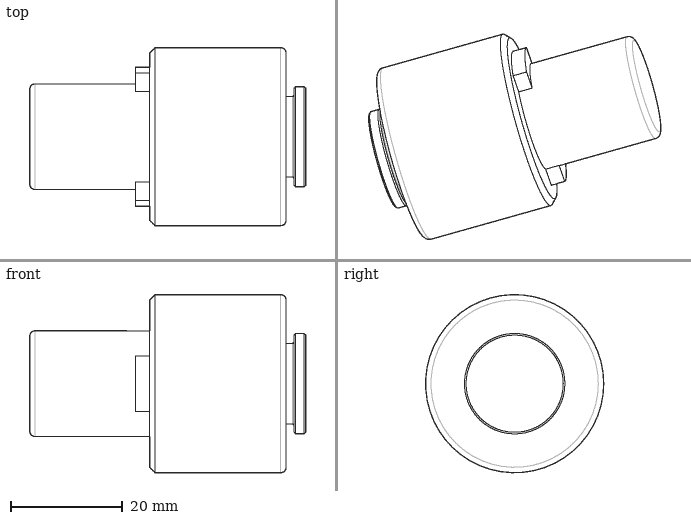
import cadquery as cq

total_length = 49.5
shaft_diameter = 19.0
body_diameter = 32.0
neck_diameter = 14.5
cap_diameter = 18.0
body_start = 21.5
body_end = 46.0
cap_start = 47.35
edge_size = 1.0
cap_edge_size = 0.3
neck_fillet_radius = 0.3
key_width = 10.0
key_outer_diameter = 25.0
key_height = 2.5


def cylinder(diameter, start, end):
    """Solid cylinder along X between two stations."""
    return cq.Workplane("YZ", origin=(start, 0, 0)).circle(diameter / 2).extrude(end - start)


def make_shaft():
    return cylinder(shaft_diameter, 0, body_start).faces("<X").edges().fillet(edge_size)


def make_body():
    body = cylinder(body_diameter, body_start, body_end)
    body = body.faces("<X").edges().chamfer(edge_size)
    return body.faces(">X").edges().fillet(edge_size)


def make_cap():
    """Neck and the chamfered disc behind it."""
    neck = cylinder(neck_diameter, body_end, cap_start)
    disc = cylinder(cap_diameter, cap_start, total_length).edges("%CIRCLE").chamfer(cap_edge_size)
    cap = neck.union(disc)
    inner_corner = cap.faces("%PLANE").faces(">X[-2]").edges(cq.selectors.RadiusNthSelector(0))
    return inner_corner.fillet(neck_fillet_radius)


def make_keys():
    """Opposed keys reaching out from the shaft, with round outer ends."""
    key_start = body_start - key_height
    bar = cq.Workplane("XY").box(key_height, key_outer_diameter, key_width)
    bar = bar.translate((key_start + key_height / 2, 0, 0))
    return bar.intersect(cylinder(key_outer_diameter, key_start, body_start))


result = make_shaft().union(make_body()).union(make_cap()).union(make_keys())